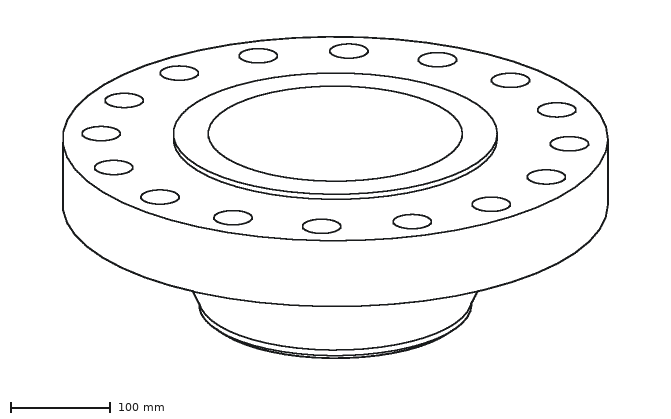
import cadquery as cq

flange_diameter = 546.0
total_height = 190.5

flange_thickness = 71.0
raised_face_diameter = 324.5
raised_face_height = 5.5
bore_diameter = 254.5

hub_top_radius = 184.0
neck_radius = 136.5
neck_height = 12.0
bevel_height = 6.0
bevel_width = 7.5
hub_fillet_radius = 13.0

bolt_count = 16
bolt_circle_diameter = 469.5
bolt_hole_diameter = 38.0

tolerance = 0.05

flange_top = total_height - raised_face_height
flange_bottom = flange_top - flange_thickness


def make_hub():
    """Revolve the neck and taper."""
    return (
        cq.Workplane("XZ")
        .moveTo(0, 0)
        .lineTo(neck_radius - bevel_width, 0)
        .lineTo(neck_radius, bevel_height)
        .lineTo(neck_radius, neck_height)
        .lineTo(hub_top_radius, flange_bottom)
        .lineTo(0, flange_bottom)
        .close()
        .revolve(360, (0, 0, 0), (0, 1, 0))
    )


def make_flange():
    """Plate with the raised face on top."""
    plate = cq.Workplane("XY").workplane(offset=flange_bottom).circle(flange_diameter / 2)
    raised_face = cq.Workplane("XY").workplane(offset=flange_top).circle(raised_face_diameter / 2)
    return plate.extrude(flange_thickness).union(raised_face.extrude(raised_face_height))


def blend_hub(body):
    """Round the inside corner where the hub meets the underside of the flange."""
    def is_hub_corner(edge):
        is_circle = edge.geomType() == "CIRCLE"
        return is_circle and abs(edge.radius() - hub_top_radius) < tolerance

    return body.edges().filter(is_hub_corner).fillet(hub_fillet_radius)


body = make_flange().union(make_hub())
body = blend_hub(body)

bore = cq.Workplane("XY").circle(bore_diameter / 2).extrude(total_height)
bolt_holes = (
    cq.Workplane("XY")
    .workplane(offset=flange_bottom)
    .polarArray(bolt_circle_diameter / 2, 0, 360, bolt_count)
    .circle(bolt_hole_diameter / 2)
    .extrude(flange_thickness)
)

result = body.cut(bore).cut(bolt_holes)